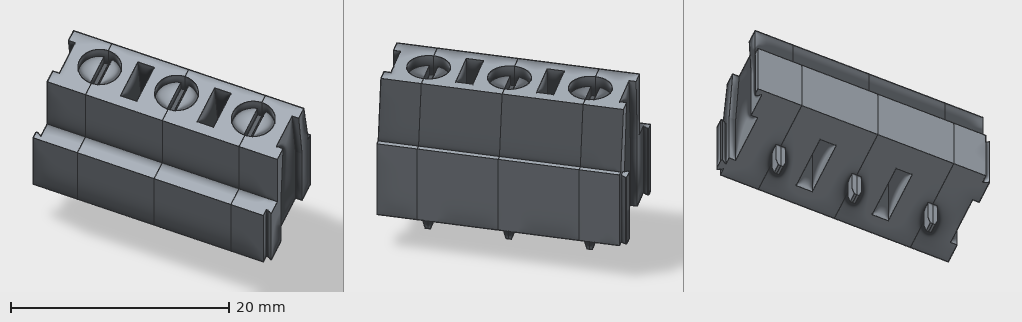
import cadquery as cq


total_length = 23.45
pole_count = 3
pole_pitch = 7.62
housing_length = pole_count * pole_pitch
rail_reach = total_length - housing_length
end_x = housing_length / 2

housing_depth = 9.8
housing_height = 13.8
front_step_depth = 1.95
front_step_height = 7.23
back_ledge_height = 7.67
slope_foot_y = 9.3
slope_top_y = 8.23

screw_y = 5.35
screw_diameter = 4.0
recess_depth = 1.08
slot_width = 0.8
slot_depth = 1.0

hollow_depth = 0.65
hollow_front_y = 2.85
hollow_back_y = 7.81
hollow_top_front_y = 3.28
hollow_top_back_y = 7.01

window_width = 1.62
window_widening = 0.2

rail_height = front_step_height
front_rail_y = 0.73
back_rail_front_y = 8.28
back_rail_back_y = 9.38
rail_tip_land = 0.15
rail_flare = 0.25
rail_chamfer_x = 0.059
rail_chamfer_y = 0.105

pin_length = 3.5
pin_width = 0.95
pin_tip_width = 0.5
pin_thickness = 0.95
pin_y = 5.2
pin_tip_length = 0.77


def pole_x(index):
    """X of a pole centre, counted from the left."""
    return (index - (pole_count - 1) / 2) * pole_pitch


def housing_block(start_x, stop_x):
    """Plain stepped housing between two X positions."""
    profile = [
        (0, 0),
        (housing_depth, 0),
        (housing_depth, back_ledge_height),
        (slope_foot_y, back_ledge_height),
        (slope_top_y, housing_height),
        (front_step_depth, housing_height),
        (front_step_depth, front_step_height),
        (0, front_step_height),
    ]
    block = cq.Workplane("YZ").polyline(profile).close().extrude(stop_x - start_x)
    return block.translate((start_x, 0, 0))


def screw_cutter(x):
    """Round recess above the screw head, with the driver slot below it."""
    floor_z = housing_height - recess_depth
    recess = (
        cq.Workplane("XY", origin=(x, screw_y, floor_z))
        .circle(screw_diameter / 2)
        .extrude(recess_depth)
    )
    slot_blank = cq.Workplane("XY").box(slot_width, screw_diameter, slot_depth, centered=(True, True, False))
    slot_round = cq.Workplane("XY").circle(screw_diameter / 2).extrude(slot_depth)
    slot = slot_blank.intersect(slot_round).translate((x, screw_y, floor_z - slot_depth))
    return recess.union(slot)


def half_pin(x, side):
    """Half of a solder pin, on the +X (side = 1) or -X (side = -1) side of its centre."""
    outline = [
        (0, 0),
        (side * pin_width / 2, 0),
        (side * pin_width / 2, pin_tip_length - pin_length),
        (side * pin_tip_width / 2, -pin_length),
        (0, -pin_length),
    ]
    pin = cq.Workplane("XZ").polyline(outline).close().extrude(pin_thickness / 2, both=True)
    return pin.translate((x, pin_y, 0))


def tapered_cutter(start_x, width, widening=0.0):
    """Vertical passage, narrower in Y at the top, reaching from start_x toward +X."""
    outline = [
        (hollow_front_y - widening, 0),
        (hollow_back_y + widening, 0),
        (hollow_back_y + widening, front_step_height),
        (hollow_top_back_y + widening, housing_height),
        (hollow_top_front_y - widening, housing_height),
        (hollow_front_y - widening, front_step_height),
    ]
    passage = cq.Workplane("YZ").polyline(outline).close().extrude(width)
    return passage.translate((start_x, 0, 0))


def window_cutter(x):
    """Through window centred on an X position."""
    return tapered_cutter(x - window_width / 2, window_width, window_widening)


def front_rail():
    """Half dovetail along the front edge of the left end."""
    tip_x = -end_x - rail_reach
    outline = [
        (-end_x, 0),
        (-end_x, front_rail_y - rail_flare),
        (tip_x + rail_tip_land, front_rail_y),
        (tip_x + rail_chamfer_x, front_rail_y),
        (tip_x, front_rail_y - rail_chamfer_y),
        (tip_x, 0),
    ]
    return cq.Workplane("XY").polyline(outline).close().extrude(rail_height)


def back_rail():
    """Full dovetail near the back of the left end."""
    tip_x = -end_x - rail_reach
    outline = [
        (-end_x, back_rail_front_y + rail_flare),
        (tip_x + rail_tip_land, back_rail_front_y),
        (tip_x + rail_chamfer_x, back_rail_front_y),
        (tip_x, back_rail_front_y + rail_chamfer_y),
        (tip_x, back_rail_back_y - rail_chamfer_y),
        (tip_x + rail_chamfer_x, back_rail_back_y),
        (tip_x + rail_tip_land, back_rail_back_y),
        (-end_x, back_rail_back_y - rail_flare),
    ]
    return cq.Workplane("XY").polyline(outline).close().extrude(rail_height)


def front_groove_cutter():
    """Notch in the right end that takes the front rail of the next block."""
    wall_x = end_x - rail_reach
    outline = [
        (wall_x, 0),
        (wall_x, front_rail_y),
        (wall_x + rail_tip_land, front_rail_y),
        (end_x, front_rail_y - rail_flare),
        (end_x, 0),
    ]
    return cq.Workplane("XY").polyline(outline).close().extrude(rail_height)


def left_end():
    """End section from the railed left face to the first pole centre."""
    x = pole_x(0)
    body = housing_block(-end_x, x).cut(tapered_cutter(-end_x, hollow_depth))
    body = body.union(front_rail()).union(back_rail())
    return body.cut(screw_cutter(x)).union(half_pin(x, -1))


def middle_section(index):
    """Section between the centres of one pole and the next."""
    start_x = pole_x(index)
    stop_x = pole_x(index + 1)
    body = housing_block(start_x, stop_x).cut(window_cutter((start_x + stop_x) / 2))
    body = body.cut(screw_cutter(start_x)).cut(screw_cutter(stop_x))
    return body.union(half_pin(start_x, 1)).union(half_pin(stop_x, -1))


def right_end():
    """End section from the last pole centre to the grooved right face."""
    x = pole_x(pole_count - 1)
    body = housing_block(x, end_x).cut(tapered_cutter(end_x - hollow_depth, hollow_depth))
    body = body.cut(front_groove_cutter())
    return body.cut(screw_cutter(x)).union(half_pin(x, 1))


middle_sections = [middle_section(index) for index in range(pole_count - 1)]

result = cq.Compound.makeCompound(
    [left_end().val(), *[section.val() for section in middle_sections], right_end().val()]
)